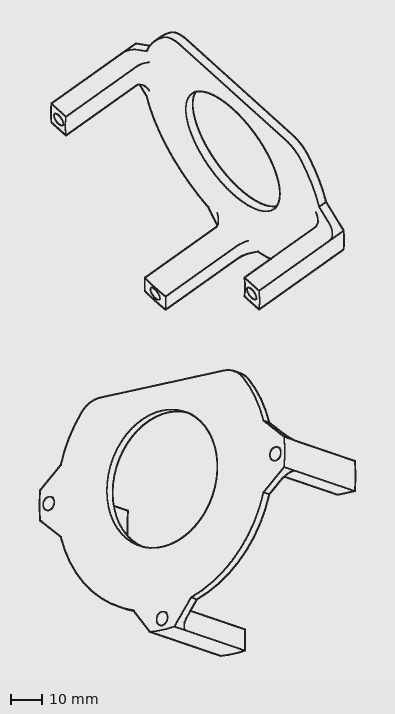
import cadquery as cq
import math

plate_radius = 43.0
plate_thickness = 3.0
flat_height = 31.3
top_corner_radius = 10.0
bore_diameter = 45.0

outer_radius = 50.0
total_depth = 36.0
post_width = 10.0
post_hole_diameter = 4.5
post_hole_offset = 46.2
root_fillet = 3.0
selection_margin = 1.0
tab_root_width = 23.7
post_angles = (0, 90, -90)

half_post = post_width / 2
half_root = tab_root_width / 2
post_inner_z = -math.sqrt(plate_radius**2 - half_post**2)
post_outer_z = -math.sqrt(outer_radius**2 - half_post**2)
tab_root_z = -math.sqrt(plate_radius**2 - half_root**2)


def front_sketch():
    """Sketch plane at Y = 0 whose extrusions run toward -Y."""
    return cq.Workplane("XZ")


def rotate_about_bore(body, angle):
    return body.rotate((0, 0, 0), (0, 1, 0), angle)


def make_disc():
    """Disc with a flat top and rounded corners beside the flat."""
    disc = front_sketch().circle(plate_radius).extrude(plate_thickness)
    keep_height = flat_height + plate_radius
    keep = (
        front_sketch()
        .center(0, flat_height - keep_height / 2)
        .rect(2 * plate_radius, keep_height)
        .extrude(plate_thickness)
    )
    return disc.intersect(keep).edges("|Y").edges(">Z").fillet(top_corner_radius)


def make_tab_outline(depth):
    """Tapered lug, from inside the disc out to the outer face of the post."""
    return (
        front_sketch()
        .moveTo(0, 0)
        .lineTo(-half_root, tab_root_z)
        .lineTo(-half_post, post_outer_z)
        .threePointArc((0, -outer_radius), (half_post, post_outer_z))
        .lineTo(half_root, tab_root_z)
        .close()
        .extrude(depth)
    )


def make_post():
    """Bottom tab and post, with the root fillet trimmed to the tab outline."""
    overrun_z = -outer_radius - root_fillet
    base = (
        front_sketch()
        .moveTo(-half_root, 0)
        .lineTo(half_root, 0)
        .lineTo(half_root, overrun_z)
        .lineTo(-half_root, overrun_z)
        .close()
        .extrude(plate_thickness)
    )
    post = (
        front_sketch()
        .moveTo(-half_post, post_inner_z)
        .threePointArc((0, -plate_radius), (half_post, post_inner_z))
        .lineTo(half_post, overrun_z)
        .lineTo(-half_post, overrun_z)
        .close()
        .extrude(total_depth)
    )
    root_region = cq.selectors.BoxSelector(
        (-half_post - selection_margin, -plate_thickness - selection_margin, overrun_z + selection_margin),
        (half_post + selection_margin, -plate_thickness + selection_margin, post_inner_z + selection_margin),
    )
    filleted = base.union(post).edges(root_region).edges("not |Y").fillet(root_fillet)
    return filleted.intersect(make_tab_outline(total_depth))


def make_post_hole():
    return front_sketch().center(0, -post_hole_offset).circle(post_hole_diameter / 2).extrude(total_depth)


result = make_disc()
tab_post = make_post()
for angle in post_angles:
    result = result.union(rotate_about_bore(tab_post, angle))

result = result.cut(front_sketch().circle(bore_diameter / 2).extrude(plate_thickness))
for angle in post_angles:
    result = result.cut(rotate_about_bore(make_post_hole(), angle))